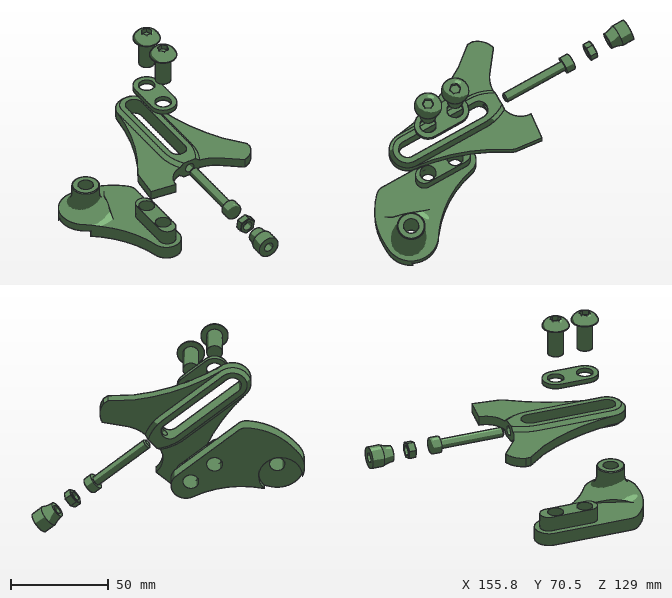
import cadquery as cq
import math

slide_y = 22.5

screw_pitch = 16.0
first_screw_x = 23.0
screw_xs = [first_screw_x, first_screw_x + screw_pitch]
screw_top_z = 129.0
screw_head_height = 4.4
screw_head_radius = 7.0
screw_head_flat_radius = 2.5
screw_rim_height = 0.5
screw_dome_bulge = 0.55
screw_shank_radius = 4.0
screw_shank_length = 16.0
screw_socket_flats = 5.0
screw_socket_depth = 2.5
screw_socket_turns = [0, 13]

washer_end_radius = 7.0
washer_thickness = 2.5
washer_bottom_z = 91.5
washer_hole_radius = 4.2

slide_z = 68.3
plate_thickness = 5.0
rim_thickness = 9.0
rim_bevel = (rim_thickness - plate_thickness) / 2
rim_x = 10.9
rim_radius = 9.5
arm_root_x = 10.1
rim_taper_x = 51.9
rim_taper_drop = 3.6
clamp_end_x = 65.0
throat_half_width = 6.1

arm_middle = (35.0, 15.3)
arm_end = (55.8, 25.5)
upper_tip_start = (66.1, 33.8)
upper_tip_corner = (68.9, 34.0)
upper_tip_middle = (73.7, 31.2)
upper_tip_end = (76.8, 25.9)
upper_throat_start = (68.6, 15.3)
upper_throat_middle = (66.2, 11.0)
lower_throat_middle = (68.9, -12.3)
lower_tip_top = (75.6, -14.8)
lower_tip_bottom = (73.9, -28.8)
elbow_start = (59.7, -27.3)
elbow_middle = (57.7, -26.7)

slot_width = 9.0
slot_end_x = 53.3

thread_radius = 2.5
bolt_tip_x = 68.3
bolt_tip_chamfer = 0.8
bolt_shank_length = 35.0
bolt_head_length = 5.0
bolt_head_radius = 4.4
bolt_head_round = 1.0
nut_x = 117.2
nut_thickness = 4.2
nut_flats = 8.0
nut_turn = -10
nut_chamfer = 0.3
collar_x = 129.7
collar_end_x = 141.8
collar_flare_length = 5.8
collar_tip_radius = 4.2
collar_diameter = 11.4
collar_radius = collar_diameter / 2
collar_flare_sag = 0.3

base_thickness = 7.0
pivot_radius = 14.0
boss_radius = 7.2
boss_height = 22.5
boss_top_chamfer = 0.5
flare_top_z = 16.5
flare_bottom_radius = 17.3
bore_radius = 3.9
key_width = slot_width
key_left_x = 16.4
key_right_x = 47.5
key_top_z = 15.0

back_start = (-pivot_radius, 3.9)
back_end = (-4.7, 27.5)
back_corner_middle = (-2.6, 29.1)
base_top_y = 30.0
nose_start_x = 42.1
nose_tip = (50.2, 21.2)
nose_end = (44.4, 14.8)
waist_middle = (23.7, 5.1)
waist_end = (12.0, -7.3)

flare_cut_line = [(-7.3, 15.7), (-3.7, 13.2), (16.5, 6.9)]
flare_cut_reach = 31.2
recess_depth = 3.3
recess_x = 2.2
recess_y = -5.1
recess_radius = 11.2


def obround(left_x, right_x, width, bottom_z, height):
    """Upright obround bar on the slide line, between two extreme X positions."""
    return (
        cq.Workplane("XY", origin=((left_x + right_x) / 2, slide_y, bottom_z))
        .slot2D(right_x - left_x, width)
        .extrude(height)
    )


def on_slide_axis(x):
    """Workplane facing +X at the given X, centred on the clamp bolt axis."""
    return cq.Workplane("YZ", origin=(x, slide_y, slide_z))


def make_screw(x, socket_turn):
    """Button-head screw at the given X, its hex socket turned by the given angle."""
    rim_z = screw_rim_height
    dome_mid_r = (screw_head_radius + screw_head_flat_radius) / 2 + screw_dome_bulge
    dome_mid_z = (rim_z + screw_head_height) / 2 + screw_dome_bulge
    profile = (
        cq.Workplane("XZ")
        .moveTo(0, -screw_shank_length)
        .lineTo(screw_shank_radius, -screw_shank_length)
        .lineTo(screw_shank_radius, 0)
        .lineTo(screw_head_radius, 0)
        .lineTo(screw_head_radius, rim_z)
        .threePointArc((dome_mid_r, dome_mid_z), (screw_head_flat_radius, screw_head_height))
        .lineTo(0, screw_head_height)
        .close()
    )
    screw = profile.revolve(360, (0, 0, 0), (0, 1, 0))
    socket = (
        cq.Workplane("XY", origin=(0, 0, screw_head_height - screw_socket_depth))
        .transformed(rotate=(0, 0, socket_turn))
        .polygon(6, screw_socket_flats, circumscribed=True)
        .extrude(screw_socket_depth)
    )
    return screw.cut(socket).translate((x, slide_y, screw_top_z - screw_head_height))


def make_washer_plate():
    plate = obround(
        screw_xs[0] - washer_end_radius,
        screw_xs[1] + washer_end_radius,
        2 * washer_end_radius,
        washer_bottom_z,
        washer_thickness,
    )
    holes = (
        cq.Workplane("XY", origin=(0, slide_y, washer_bottom_z))
        .pushPoints([(x, 0) for x in screw_xs])
        .circle(washer_hole_radius)
        .extrude(washer_thickness)
    )
    return plate.cut(holes)


def make_forked_plate():
    """Thin plate: two flared arms with a concave throat between them."""
    root_half_width = math.sqrt(rim_radius**2 - (rim_x - arm_root_x) ** 2)
    return (
        cq.Workplane("XY", origin=(0, slide_y, slide_z - plate_thickness / 2))
        .moveTo(arm_root_x, root_half_width)
        .threePointArc(arm_middle, arm_end)
        .lineTo(*upper_tip_start)
        .lineTo(*upper_tip_corner)
        .threePointArc(upper_tip_middle, upper_tip_end)
        .lineTo(*upper_throat_start)
        .threePointArc(upper_throat_middle, (clamp_end_x, throat_half_width))
        .lineTo(clamp_end_x, -throat_half_width)
        .threePointArc(lower_throat_middle, lower_tip_top)
        .lineTo(*lower_tip_bottom)
        .lineTo(*elbow_start)
        .threePointArc(elbow_middle, (arm_end[0], -arm_end[1]))
        .threePointArc((arm_middle[0], -arm_middle[1]), (arm_root_x, -root_half_width))
        .close()
        .extrude(plate_thickness)
    )


def make_rim():
    """Thick rim: round at the left, slightly narrowing to a flat end, bevelled all round but there."""
    taper_length = clamp_end_x - rim_taper_x
    taper_radius = (taper_length**2 + rim_taper_drop**2) / (2 * rim_taper_drop)
    half_angle = math.asin(taper_length / taper_radius) / 2
    mid_x = rim_taper_x + taper_radius * math.sin(half_angle)
    mid_half_width = rim_radius - taper_radius * (1 - math.cos(half_angle))
    end_half_width = rim_radius - rim_taper_drop
    rim = (
        cq.Workplane("XY", origin=(0, slide_y, slide_z - rim_thickness / 2))
        .moveTo(rim_taper_x, rim_radius)
        .threePointArc((mid_x, mid_half_width), (clamp_end_x, end_half_width))
        .lineTo(clamp_end_x, -end_half_width)
        .threePointArc((mid_x, -mid_half_width), (rim_taper_x, -rim_radius))
        .lineTo(rim_x, -rim_radius)
        .threePointArc((rim_x - rim_radius, 0), (rim_x, rim_radius))
        .close()
        .extrude(rim_thickness)
    )
    return rim.faces("|Z").edges("not(>X)").chamfer(rim_bevel)


def make_clamp():
    slot = obround(
        rim_x - slot_width / 2,
        slot_end_x + slot_width / 2,
        slot_width,
        slide_z - rim_thickness / 2,
        rim_thickness,
    )
    bolt_hole = on_slide_axis(slot_end_x).circle(thread_radius).extrude(clamp_end_x - slot_end_x)
    return make_forked_plate().union(make_rim()).cut(slot).cut(bolt_hole)


def make_bolt():
    shank = on_slide_axis(bolt_tip_x).circle(thread_radius).extrude(bolt_shank_length)
    shank = shank.faces("<X").chamfer(bolt_tip_chamfer)
    head = on_slide_axis(bolt_tip_x + bolt_shank_length).circle(bolt_head_radius).extrude(bolt_head_length)
    head = head.faces(">X").edges().fillet(bolt_head_round)
    return shank.union(head)


def make_nut():
    """Hexagonal nut with a small chamfer round both ends."""
    hexagon = (
        on_slide_axis(nut_x)
        .transformed(rotate=(0, 0, nut_turn))
        .polygon(6, nut_flats, circumscribed=True)
        .extrude(nut_thickness)
    )
    hole = on_slide_axis(nut_x).circle(thread_radius).extrude(nut_thickness)
    return hexagon.faces("|X").chamfer(nut_chamfer).cut(hole)


def make_collar():
    """Sleeve whose outside flares along an arc from a narrow tip to a plain cylinder."""
    length = collar_end_x - collar_x
    return (
        cq.Workplane("XY")
        .moveTo(0, thread_radius)
        .lineTo(0, collar_tip_radius)
        .threePointArc(
            (collar_flare_length / 2, (collar_tip_radius + collar_radius) / 2 - collar_flare_sag),
            (collar_flare_length, collar_radius),
        )
        .lineTo(length, collar_radius)
        .lineTo(length, thread_radius)
        .close()
        .revolve(360, (0, 0, 0), (1, 0, 0))
        .translate((collar_x, slide_y, slide_z))
    )


def make_base_plate(height):
    """The base outline, extruded up from Z = 0."""
    return (
        cq.Workplane("XY")
        .moveTo(-pivot_radius, 0)
        .lineTo(*back_start)
        .tangentArcPoint(back_end, relative=False)
        .threePointArc(back_corner_middle, (0, base_top_y))
        .lineTo(nose_start_x, base_top_y)
        .threePointArc(nose_tip, nose_end)
        .threePointArc(waist_middle, waist_end)
        .threePointArc((0, -pivot_radius), (-pivot_radius, 0))
        .close()
        .extrude(height)
    )


def make_flare():
    """Concave foot of the boss, kept within the base outline and cut off along its slide side."""
    rise = flare_top_z - base_thickness
    run = flare_bottom_radius - boss_radius
    diagonal = math.sqrt(0.5)
    arc_middle = (flare_bottom_radius - run * diagonal, flare_top_z - rise * diagonal)
    flare = (
        cq.Workplane("XZ")
        .moveTo(0, 0)
        .lineTo(flare_bottom_radius, 0)
        .lineTo(flare_bottom_radius, base_thickness)
        .threePointArc(arc_middle, (boss_radius, flare_top_z))
        .lineTo(0, flare_top_z)
        .close()
        .revolve(360, (0, 0, 0), (0, 1, 0))
    )
    slide_side = (
        cq.Workplane("XY")
        .polyline(flare_cut_line)
        .lineTo(flare_cut_reach, flare_cut_reach)
        .lineTo(flare_cut_line[0][0], flare_cut_reach)
        .close()
        .extrude(flare_top_z)
    )
    return flare.intersect(make_base_plate(flare_top_z)).cut(slide_side)


def make_base():
    boss = cq.Workplane("XY").circle(boss_radius).extrude(boss_height)
    boss = boss.faces(">Z").chamfer(boss_top_chamfer)
    key = obround(key_left_x, key_right_x, key_width, 0, key_top_z)
    bore = cq.Workplane("XY").circle(bore_radius).extrude(boss_height)
    screw_holes = (
        cq.Workplane("XY", origin=(0, slide_y, 0))
        .pushPoints([(x, 0) for x in screw_xs])
        .circle(screw_shank_radius)
        .extrude(key_top_z)
    )
    recess = cq.Workplane("XY").center(recess_x, recess_y).circle(recess_radius).extrude(recess_depth)
    solid = make_base_plate(base_thickness).union(make_flare()).union(boss).union(key)
    return solid.cut(bore).cut(screw_holes).cut(recess)


screws = [make_screw(x, turn) for x, turn in zip(screw_xs, screw_socket_turns)]
washer_plate = make_washer_plate()
clamp = make_clamp()
bolt = make_bolt()
nut = make_nut()
collar = make_collar()
base = make_base()

result = cq.Compound.makeCompound(
    [
        *[screw.val() for screw in screws],
        washer_plate.val(),
        clamp.val(),
        bolt.val(),
        nut.val(),
        collar.val(),
        base.val(),
    ]
)